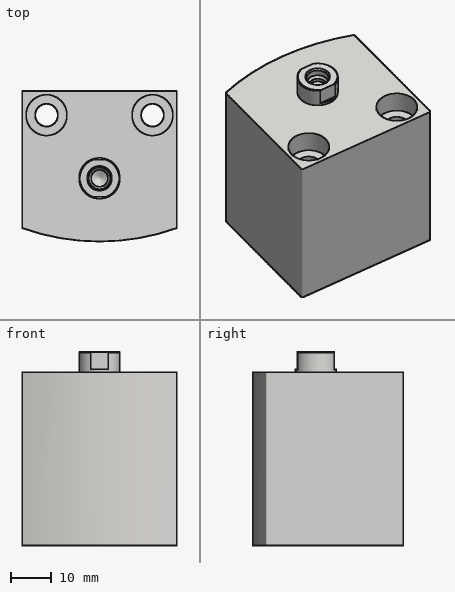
import cadquery as cq
import math

total_height = 47.5
rod_height = 5.0
housing_height = total_height - rod_height
width = 38.0
depth = 37.0
front_bow = 3.32
corner_radius = 0.4

screw_spacing = 26.0
screw_back_offset = 6.0
screw_hole_diameter = 5.5
counterbore_diameter = 10.0
counterbore_depth = 5.7

rod_diameter = 10.0
rod_back_offset = 21.45
rod_chamfer = 0.2
flat_spacing = 9.02
flat_height = 4.28

lead_in_diameter = 6.1
thread_diameter = 5.3
core_diameter = 4.15
thread_depth = 2.0
core_depth = 3.45
drill_tip_angle = 118.0

back_y = rod_back_offset
front_y = back_y - depth
front_corner_y = front_y + front_bow


def make_housing():
    """Block with a bowed front and two counterbored screw holes."""
    half_width = width / 2
    block = (
        cq.Workplane("XY")
        .moveTo(-half_width, back_y)
        .lineTo(-half_width, front_corner_y)
        .threePointArc((0, front_y), (half_width, front_corner_y))
        .lineTo(half_width, back_y)
        .close()
        .extrude(housing_height)
        .edges("|Z")
        .fillet(corner_radius)
    )
    screw_y = back_y - screw_back_offset
    screw_points = [(side * screw_spacing / 2, screw_y) for side in (-1, 1)]
    return (
        block.faces(">Z")
        .workplane(origin=(0, 0, housing_height))
        .pushPoints(screw_points)
        .cboreHole(screw_hole_diameter, counterbore_diameter, counterbore_depth)
    )


def make_threaded_hole():
    """Revolved cutter for the stepped hole with a conical end."""
    lead_in_radius = lead_in_diameter / 2
    thread_radius = thread_diameter / 2
    core_radius = core_diameter / 2
    lead_in_depth = lead_in_radius - thread_radius
    step_depth = thread_radius - core_radius
    tip_depth = core_radius / math.tan(math.radians(drill_tip_angle / 2))
    return (
        cq.Workplane("XZ")
        .moveTo(0, total_height)
        .lineTo(lead_in_radius, total_height)
        .lineTo(thread_radius, total_height - lead_in_depth)
        .lineTo(thread_radius, total_height - thread_depth)
        .lineTo(core_radius, total_height - thread_depth - step_depth)
        .lineTo(core_radius, total_height - core_depth)
        .lineTo(0, total_height - core_depth - tip_depth)
        .close()
        .revolve(360, (0, 0, 0), (0, 1, 0))
    )


def make_rod():
    """Round rod end with two wrench flats and a threaded hole."""
    rod = (
        cq.Workplane("XY", origin=(0, 0, housing_height))
        .circle(rod_diameter / 2)
        .extrude(rod_height)
        .faces(">Z")
        .chamfer(rod_chamfer)
    )
    for side in (-1, 1):
        flat_cutter = (
            cq.Workplane("XY", origin=(0, 0, total_height - flat_height))
            .center(0, side * (flat_spacing + rod_diameter) / 2)
            .rect(rod_diameter, rod_diameter)
            .extrude(flat_height)
        )
        rod = rod.cut(flat_cutter)
    return rod.cut(make_threaded_hole())


housing = make_housing()
rod = make_rod()
result = cq.Compound.makeCompound([housing.solids().val(), rod.solids().val()])